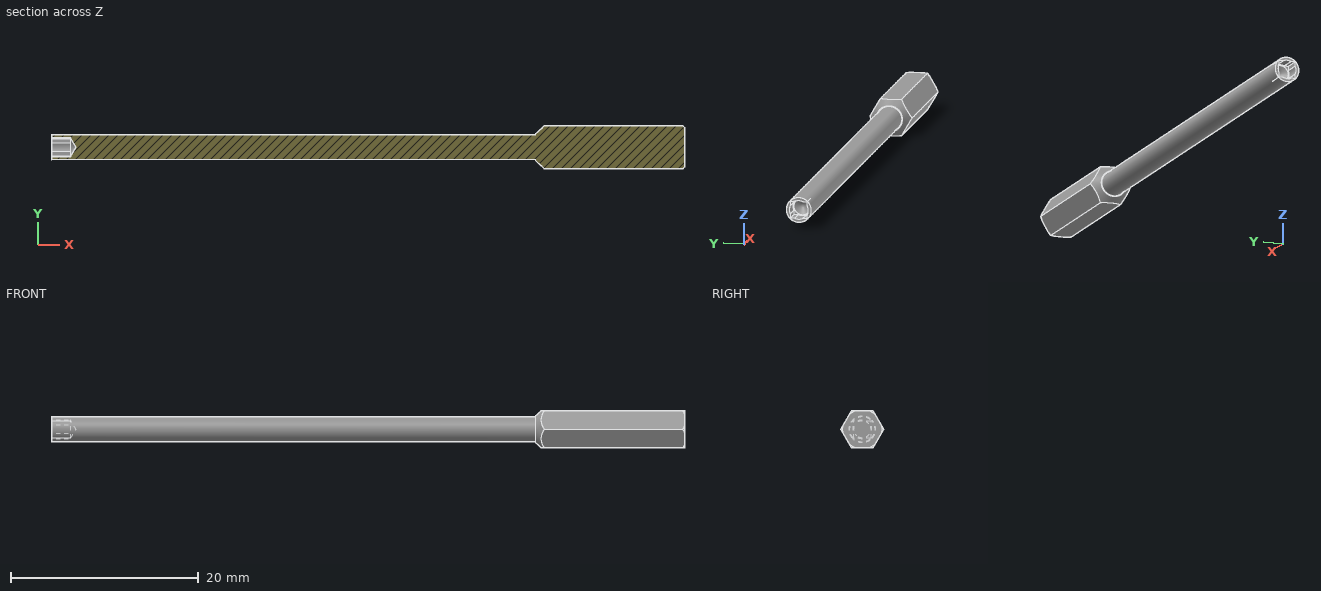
import cadquery as cq
import math

length = 67.5
hex_across_flats = 4.0
hex_across_corners = hex_across_flats / math.cos(math.radians(30))

shaft_diameter = 2.7
shaft_length = 51.6

socket_width = 1.8
socket_depth = 2.0
relief_diameter = 2.0

drill_diameter = socket_width
drill_point_angle = 118.0

front_cone_diameter = 2.85
front_cone_length = 0.95
rear_chamfer = 0.2

shaft_end = -length / 2
hex_start = shaft_end + shaft_length
hex_end = length / 2


def revolve_about_x(profile):
    """Turn a closed profile of (x, radius) points about the X axis."""
    return cq.Workplane("XY").polyline(profile).close().revolve(360, (0, 0, 0), (1, 0, 0))


def make_hex_head():
    """Hexagon with corners on +Y and -Y, its ends trimmed by turned cones."""
    corner_radius = hex_across_corners / 2
    prism = (
        cq.Workplane("YZ", origin=(hex_start, 0, 0))
        .polygon(6, hex_across_corners)
        .extrude(hex_end - hex_start)
    )
    turned_envelope = revolve_about_x([
        (hex_start, 0),
        (hex_start, front_cone_diameter / 2),
        (hex_start + front_cone_length, corner_radius),
        (hex_end - rear_chamfer, corner_radius),
        (hex_end, corner_radius - rear_chamfer),
        (hex_end, 0),
    ])
    return prism.intersect(turned_envelope)


def make_shaft():
    return cq.Workplane("YZ", origin=(shaft_end, 0, 0)).circle(shaft_diameter / 2).extrude(shaft_length)


def make_socket():
    """Square socket and relief bore, both ending at the same flat floor."""
    mouth = cq.Workplane("YZ", origin=(shaft_end, 0, 0))
    square = mouth.rect(socket_width, socket_width).extrude(socket_depth)
    relief = mouth.circle(relief_diameter / 2).extrude(socket_depth)
    return square.union(relief)


def make_drill_point():
    drill_radius = drill_diameter / 2
    point_length = drill_radius / math.tan(math.radians(drill_point_angle / 2))
    floor = shaft_end + socket_depth
    return revolve_about_x([
        (floor, 0),
        (floor, drill_radius),
        (floor + point_length, 0),
    ])


body = make_shaft().union(make_hex_head())
result = body.cut(make_socket()).cut(make_drill_point())